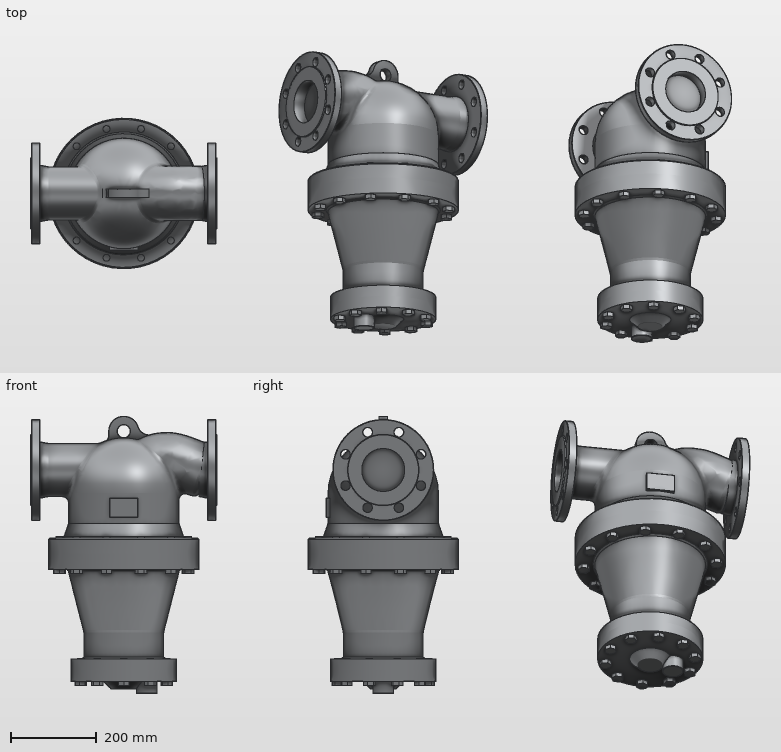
import cadquery as cq
import math


BODY_RADIUS = 257 / 2
DOME_CENTRE_Z = -53.5
SKIRT_TOP_Z = -124.0
SKIRT_RADIUS = 139.0
BODY_FOOT_RADIUS = 143.0
BODY_FOOT_HEIGHT = 4.0

MAIN_FLANGE_RADIUS = 350 / 2
MAIN_FLANGE_TOP_Z = -158.5
MAIN_FLANGE_BOTTOM_Z = -231.0
MAIN_FLANGE_CHAMFER = 3.0
MAIN_BOLT_COUNT = 12
MAIN_BOLT_CIRCLE_RADIUS = 155.0
MAIN_BOLT_START_ANGLE = 15.0
MAIN_BOLT_CORNER_ANGLE = 15.0
MAIN_BOLT_PROTRUSION = 4.0

CONE_TOP_RADIUS = 129.0
CONE_COLLAR_RADIUS = 133.0
CONE_COLLAR_HEIGHT = 4.0
CONE_BOTTOM_Z = -372.5
CONE_BOTTOM_RADIUS = 94.0
NECK_TOP_Z = -378.5
NECK_RADIUS = 186 / 2
NECK_FOOT_SIZE = 4.0

BASE_FLANGE_RADIUS = 245 / 2
BASE_FLANGE_TOP_Z = -439.0
BASE_FLANGE_BOTTOM_Z = -491.5
BASE_BOLT_COUNT = 10
BASE_BOLT_CIRCLE_RADIUS = 105.0
BASE_BOLT_START_ANGLE = 90.0
BASE_BOLT_CORNER_ANGLE = 0.0
BASE_BOLT_PROTRUSION = 0.5

BOLT_DIAMETER = 16.0
BOLT_HEAD_ACROSS_FLATS = 24.0
BOLT_HEAD_HEIGHT = 10.0

DRAIN_TOP_RADIUS = 48.0
DRAIN_BOTTOM_RADIUS = 29.0
DRAIN_BOTTOM_Z = -509.5
DRAIN_EDGE_RADIUS = 2.5
DRAIN_BOSS_RADIUS = 48 / 2
DRAIN_BOSS_X = 53.5
DRAIN_BOSS_BOTTOM_Z = -520.0
DRAIN_BOSS_CHAMFER = 1.0

FACE_X = 434 / 2
RAISED_FACE_HEIGHT = 3.0
RAISED_FACE_BASE_RADIUS = 83.0
RAISED_FACE_RADIUS = 82.0
PIPE_FLANGE_BACK_X = 195.0
PIPE_FLANGE_RADIUS = 235 / 2
PIPE_FLANGE_CHAMFER = 1.0
PIPE_HOLE_DIAMETER = 22.0
PIPE_HOLE_COUNT = 8
PIPE_HOLE_CIRCLE_DIAMETER = 190.0
BORE_RADIUS = 100 / 2
BORE_DEPTH = 30.0
PIPE_RADIUS = 124 / 2
PIPE_NECK_START_X = 175.0
PIPE_NECK_STRAIGHT_X = 191.0
PIPE_NECK_RADIUS = 65.0
PIPE_BLEND_RADIUS = 14.0

ELBOW_RADIUS = 127 / 2
ELBOW_START_X = 190.0
ELBOW_START_Z = -3.0
ELBOW_RISE_ANGLE = 15.0
ELBOW_BEND_END_ANGLE = 40.0
ELBOW_BEND_RADIUS = 72.0
ELBOW_BEND_X = 97.0
ELBOW_BEND_Z = -48.0

LUG_RADIUS = 35.0
LUG_CENTRE_Z = 90.0
LUG_THICKNESS = 20.0
LUG_HOLE_DIAMETER = 30.0
LUG_LEFT_FOOT_RADIUS = 15.0
LUG_RIGHT_FOOT_RADIUS = 26.0
LUG_RIGHT_TANGENT_ANGLE = 17.0
LUG_BASE_Z = 40.0

PLATE_WIDTH = 66.0
PLATE_HEIGHT = 45.0
PLATE_CENTRE_Z = -88.0
PLATE_FRONT_Y = -133.0
PLATE_BACK_Y = -115.0
PLATE_CORNER_RADIUS = 2.0
PLATE_EDGE_CHAMFER = 1.0


def revolved_about_z(profile):
    return profile.close().revolve(360, (0, 0, 0), (0, 1, 0), clean=False)


def make_domed_body():
    foot_z = MAIN_FLANGE_TOP_Z + BODY_FOOT_HEIGHT
    quarter = BODY_RADIUS * math.sqrt(0.5)
    profile = (
        cq.Workplane("XZ")
        .moveTo(0, MAIN_FLANGE_TOP_Z)
        .lineTo(BODY_FOOT_RADIUS, MAIN_FLANGE_TOP_Z)
        .lineTo(SKIRT_RADIUS, foot_z)
        .lineTo(BODY_RADIUS, SKIRT_TOP_Z)
        .lineTo(BODY_RADIUS, DOME_CENTRE_Z)
        .threePointArc((quarter, DOME_CENTRE_Z + quarter), (0, DOME_CENTRE_Z + BODY_RADIUS))
    )
    return revolved_about_z(profile)


def make_lower_vessel():
    """Both flange pairs with the cone and neck between them; each pair keeps its joint line."""
    main_joint_z = (MAIN_FLANGE_TOP_Z + MAIN_FLANGE_BOTTOM_Z) / 2
    base_joint_z = (BASE_FLANGE_TOP_Z + BASE_FLANGE_BOTTOM_Z) / 2
    profile = (
        cq.Workplane("XZ")
        .moveTo(0, MAIN_FLANGE_TOP_Z)
        .lineTo(MAIN_FLANGE_RADIUS - MAIN_FLANGE_CHAMFER, MAIN_FLANGE_TOP_Z)
        .lineTo(MAIN_FLANGE_RADIUS, MAIN_FLANGE_TOP_Z - MAIN_FLANGE_CHAMFER)
        .lineTo(MAIN_FLANGE_RADIUS, main_joint_z)
        .lineTo(MAIN_FLANGE_RADIUS, MAIN_FLANGE_BOTTOM_Z)
        .lineTo(CONE_COLLAR_RADIUS, MAIN_FLANGE_BOTTOM_Z)
        .lineTo(CONE_TOP_RADIUS, MAIN_FLANGE_BOTTOM_Z - CONE_COLLAR_HEIGHT)
        .lineTo(CONE_BOTTOM_RADIUS, CONE_BOTTOM_Z)
        .lineTo(NECK_RADIUS, NECK_TOP_Z)
        .lineTo(NECK_RADIUS, BASE_FLANGE_TOP_Z + NECK_FOOT_SIZE)
        .lineTo(NECK_RADIUS + NECK_FOOT_SIZE, BASE_FLANGE_TOP_Z)
        .lineTo(BASE_FLANGE_RADIUS, BASE_FLANGE_TOP_Z)
        .lineTo(BASE_FLANGE_RADIUS, base_joint_z)
        .lineTo(BASE_FLANGE_RADIUS, BASE_FLANGE_BOTTOM_Z)
        .lineTo(0, BASE_FLANGE_BOTTOM_Z)
    )
    return revolved_about_z(profile)


def make_inlet_pipe():
    return cq.Workplane("YZ").circle(PIPE_RADIUS).extrude(-PIPE_FLANGE_BACK_X)


def bend_point(angle_from_top):
    """Point on the elbow centreline, at an angle from the top of the bend toward -X."""
    angle = math.radians(angle_from_top)
    return (
        ELBOW_BEND_X - ELBOW_BEND_RADIUS * math.sin(angle),
        ELBOW_BEND_Z + ELBOW_BEND_RADIUS * math.cos(angle),
    )


def make_outlet_elbow():
    rise = math.radians(ELBOW_RISE_ANGLE)
    bend_end = math.radians(ELBOW_BEND_END_ANGLE)
    pipe_start = (ELBOW_START_X, ELBOW_START_Z)
    start_direction = (-math.cos(rise), math.sin(rise))
    end_direction = (-math.cos(bend_end), -math.sin(bend_end))
    path = cq.Workplane("XZ").spline(
        [pipe_start, bend_point(0), bend_point(ELBOW_BEND_END_ANGLE)],
        tangents=[start_direction, end_direction],
    )
    start_plane = cq.Plane(
        origin=(pipe_start[0], 0, pipe_start[1]),
        xDir=(0, 1, 0),
        normal=(start_direction[0], 0, start_direction[1]),
    )
    return cq.Workplane(start_plane).circle(ELBOW_RADIUS).sweep(path)


def make_pipe_flange():
    """Flange of the +X connection with its conical neck and tapered raised face."""
    rim_x = FACE_X - RAISED_FACE_HEIGHT
    flange = (
        cq.Workplane("XY")
        .moveTo(PIPE_NECK_START_X, 0)
        .lineTo(PIPE_NECK_START_X, PIPE_RADIUS)
        .lineTo(PIPE_NECK_STRAIGHT_X, PIPE_NECK_RADIUS)
        .lineTo(PIPE_FLANGE_BACK_X, PIPE_NECK_RADIUS)
        .lineTo(PIPE_FLANGE_BACK_X, PIPE_FLANGE_RADIUS - PIPE_FLANGE_CHAMFER)
        .lineTo(PIPE_FLANGE_BACK_X + PIPE_FLANGE_CHAMFER, PIPE_FLANGE_RADIUS)
        .lineTo(rim_x - PIPE_FLANGE_CHAMFER, PIPE_FLANGE_RADIUS)
        .lineTo(rim_x, PIPE_FLANGE_RADIUS - PIPE_FLANGE_CHAMFER)
        .lineTo(rim_x, RAISED_FACE_BASE_RADIUS)
        .lineTo(FACE_X, RAISED_FACE_RADIUS)
        .lineTo(FACE_X, 0)
        .close()
        .revolve(360, (0, 0, 0), (1, 0, 0))
    )
    half_pitch = 180 / PIPE_HOLE_COUNT
    holes = (
        cq.Workplane("YZ", origin=(PIPE_FLANGE_BACK_X, 0, 0))
        .polarArray(PIPE_HOLE_CIRCLE_DIAMETER / 2, half_pitch, 360, PIPE_HOLE_COUNT)
        .circle(PIPE_HOLE_DIAMETER / 2)
        .extrude(FACE_X - PIPE_FLANGE_BACK_X)
    )
    return flange.cut(holes)


def make_bore():
    return cq.Workplane("YZ", origin=(FACE_X, 0, 0)).circle(BORE_RADIUS).extrude(-BORE_DEPTH)


def make_lifting_lug():
    """Rounded eye plate whose concave feet flare out onto the dome and the elbow."""
    tangent = math.radians(LUG_RIGHT_TANGENT_ANGLE)
    right_start = (LUG_RADIUS * math.cos(tangent), LUG_CENTRE_Z + LUG_RADIUS * math.sin(tangent))
    foot_reach = LUG_RADIUS + LUG_RIGHT_FOOT_RADIUS
    right_centre = (foot_reach * math.cos(tangent), LUG_CENTRE_Z + foot_reach * math.sin(tangent))
    right_end = (right_centre[0], right_centre[1] - LUG_RIGHT_FOOT_RADIUS)
    right_mid_angle = (math.pi + tangent + 1.5 * math.pi) / 2
    right_mid = (
        right_centre[0] + LUG_RIGHT_FOOT_RADIUS * math.cos(right_mid_angle),
        right_centre[1] + LUG_RIGHT_FOOT_RADIUS * math.sin(right_mid_angle),
    )
    left_foot_x = -LUG_RADIUS - LUG_LEFT_FOOT_RADIUS
    left_foot_z = DOME_CENTRE_Z + math.sqrt(BODY_RADIUS**2 - left_foot_x**2)
    left_top_z = left_foot_z + LUG_LEFT_FOOT_RADIUS
    inset = LUG_LEFT_FOOT_RADIUS * math.sqrt(0.5)
    left_mid = (left_foot_x + inset, left_top_z - inset)
    return (
        cq.Workplane("XZ")
        .moveTo(*right_start)
        .threePointArc((0, LUG_CENTRE_Z + LUG_RADIUS), (-LUG_RADIUS, LUG_CENTRE_Z))
        .lineTo(-LUG_RADIUS, left_top_z)
        .threePointArc(left_mid, (left_foot_x, left_foot_z))
        .lineTo(left_foot_x, LUG_BASE_Z)
        .lineTo(right_end[0], LUG_BASE_Z)
        .lineTo(*right_end)
        .threePointArc(right_mid, right_start)
        .close()
        .extrude(LUG_THICKNESS / 2, both=True)
    )


def make_lug_hole():
    return (
        cq.Workplane("XZ", origin=(0, 0, LUG_CENTRE_Z))
        .circle(LUG_HOLE_DIAMETER / 2)
        .extrude(LUG_THICKNESS / 2, both=True)
    )


def make_name_plate():
    return (
        cq.Workplane("XZ", origin=(0, PLATE_BACK_Y, PLATE_CENTRE_Z))
        .rect(PLATE_WIDTH, PLATE_HEIGHT)
        .extrude(PLATE_BACK_Y - PLATE_FRONT_Y)
        .edges("|Y")
        .fillet(PLATE_CORNER_RADIUS)
        .faces("<Y")
        .chamfer(PLATE_EDGE_CHAMFER)
    )


def make_bolts(count, circle_radius, start_angle, corner_angle, head_top_z, shank_end_z):
    """Ring of bolts with hex heads hanging under a flange pair and shank ends showing above it."""
    head_diameter = BOLT_HEAD_ACROSS_FLATS / math.cos(math.radians(30))
    head = (
        cq.Workplane("XY", origin=(0, 0, head_top_z))
        .polygon(6, head_diameter)
        .extrude(-BOLT_HEAD_HEIGHT)
    )
    shank = (
        cq.Workplane("XY", origin=(0, 0, head_top_z))
        .circle(BOLT_DIAMETER / 2)
        .extrude(shank_end_z - head_top_z)
    )
    bolt = (
        head.union(shank)
        .rotate((0, 0, 0), (0, 0, 1), corner_angle)
        .translate((circle_radius, 0, 0))
    )
    return [
        bolt.rotate((0, 0, 0), (0, 0, 1), start_angle + index * 360 / count)
        for index in range(count)
    ]


def make_drain():
    bowl = (
        cq.Workplane("XY", origin=(0, 0, BASE_FLANGE_BOTTOM_Z))
        .circle(DRAIN_TOP_RADIUS)
        .workplane(offset=DRAIN_BOTTOM_Z - BASE_FLANGE_BOTTOM_Z)
        .circle(DRAIN_BOTTOM_RADIUS)
        .loft()
        .faces("<Z")
        .edges()
        .fillet(DRAIN_EDGE_RADIUS)
    )
    boss = (
        cq.Workplane("XY", origin=(DRAIN_BOSS_X, 0, BASE_FLANGE_BOTTOM_Z))
        .circle(DRAIN_BOSS_RADIUS)
        .extrude(DRAIN_BOSS_BOTTOM_Z - BASE_FLANGE_BOTTOM_Z)
        .faces("<Z")
        .chamfer(DRAIN_BOSS_CHAMFER)
    )
    return bowl.union(boss)


def fuse(base, pieces):
    """Join pieces to a base while keeping the joint lines between stacked flanges."""
    for piece in pieces:
        base = base.union(piece, clean=False)
    return base


def make_part():
    upper_body = make_domed_body().union(make_inlet_pipe()).union(make_outlet_elbow())
    upper_body = upper_body.edges("%BSPLINE").fillet(PIPE_BLEND_RADIUS)
    outlet_flange = make_pipe_flange()
    inlet_flange = outlet_flange.mirror("YZ")
    main_bolts = make_bolts(
        MAIN_BOLT_COUNT,
        MAIN_BOLT_CIRCLE_RADIUS,
        MAIN_BOLT_START_ANGLE,
        MAIN_BOLT_CORNER_ANGLE,
        MAIN_FLANGE_BOTTOM_Z,
        MAIN_FLANGE_TOP_Z + MAIN_BOLT_PROTRUSION,
    )
    base_bolts = make_bolts(
        BASE_BOLT_COUNT,
        BASE_BOLT_CIRCLE_RADIUS,
        BASE_BOLT_START_ANGLE,
        BASE_BOLT_CORNER_ANGLE,
        BASE_FLANGE_BOTTOM_Z,
        BASE_FLANGE_TOP_Z + BASE_BOLT_PROTRUSION,
    )
    additions = [outlet_flange, inlet_flange, make_lifting_lug(), make_name_plate()]
    lower_additions = [make_lower_vessel(), make_drain()] + main_bolts + base_bolts
    part = fuse(upper_body, additions + lower_additions)
    outlet_bore = make_bore()
    inlet_bore = outlet_bore.mirror("YZ")
    for opening in (outlet_bore, inlet_bore, make_lug_hole()):
        part = part.cut(opening, clean=False)
    return part


result = make_part()